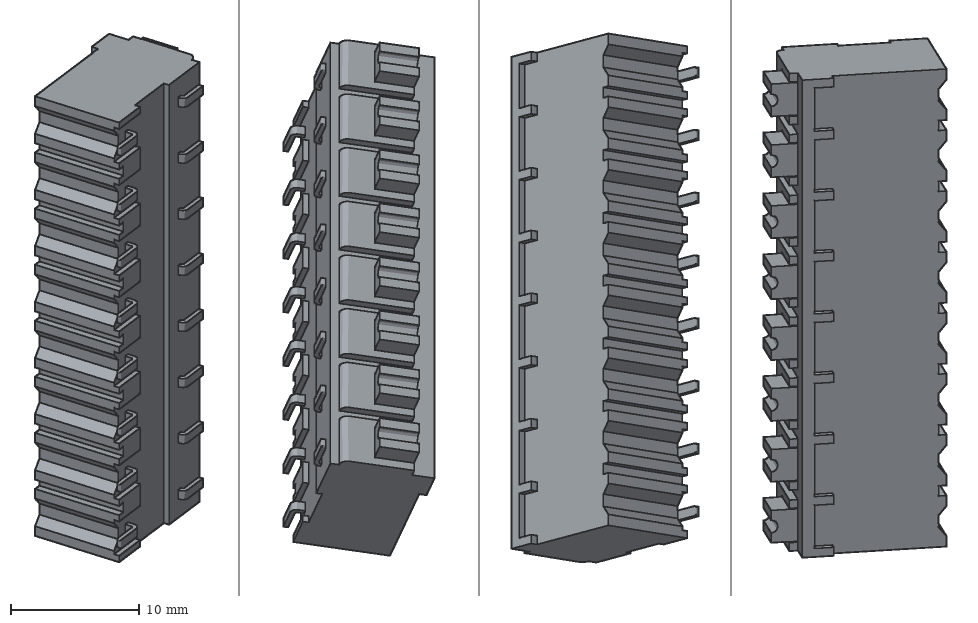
import cadquery as cq

pole_count = 8
pole_pitch = 4.998
height = 39.2
pole_levels = [(i - (pole_count - 1) / 2) * pole_pitch for i in range(pole_count)]
gap_levels = [z + pole_pitch / 2 for z in pole_levels[:-1]]

housing_front = 0.6
housing_back = 8.4
shoulder_y = 11.55
cap_y = 12.25
cap_front = 1.8
cap_back = 7.7
cap_radius = cap_y - shoulder_y

recess_floor = 7.9
recess_low = 3.0
recess_high = 7.17
channel_height = 3.05

foot_rail_low = 10.6
foot_rib_low = 9.05
foot_rib_height = 0.7

groove_depth = 0.63
groove_outer = 2.45
groove_inner = 0.98
slot_height = 0.82

key_length = 3.18
key_x = (cap_front, cap_front + key_length)
key_height = 2.65
key_clearance = 0.08
key_top = 13.7
key_notch_radius = 0.5

pin_thickness = 0.4
pin_height = 0.8
pin_outer_face = 9.0
pin_root = 7.45
pin_length = 2.7
pin_bend_radius = 0.1
pin_tip_radius = 0.1
lower_pin_tip = -0.7
upper_pin_tip = 11.17


def block(x_range, y_range, z_level, z_height):
    """Box over the given X and Y ranges, centred on a Z level."""
    length = x_range[1] - x_range[0]
    depth = y_range[1] - y_range[0]
    return (
        cq.Workplane("XY")
        .box(length, depth, z_height, centered=(False, False, True))
        .translate((x_range[0], y_range[0], z_level))
    )


def make_housing():
    """Full-height extrusion of the housing outline."""
    return (
        cq.Workplane("XY")
        .workplane(offset=-height / 2)
        .moveTo(housing_front, 0)
        .lineTo(housing_back, 0)
        .lineTo(housing_back, recess_low)
        .lineTo(recess_floor, recess_low)
        .lineTo(recess_floor, recess_high)
        .lineTo(housing_back, recess_high)
        .lineTo(housing_back, shoulder_y)
        .lineTo(cap_back, shoulder_y)
        .radiusArc((cap_back - cap_radius, cap_y), -cap_radius)
        .lineTo(cap_front, cap_y)
        .lineTo(cap_front, shoulder_y)
        .lineTo(housing_front, shoulder_y)
        .close()
        .extrude(height)
    )


def make_foot():
    """Rail along Z with a short rib between poles and at both ends."""
    foot_x = (0, housing_front)
    foot = block(foot_x, (foot_rail_low, shoulder_y), 0, height)
    end_level = (height - foot_rib_height) / 2
    for z in gap_levels + [-end_level, end_level]:
        foot = foot.union(block(foot_x, (foot_rib_low, shoulder_y), z, foot_rib_height))
    return foot


def make_comb_groove(z):
    """Trapezoidal groove across the -Y face at one pole."""
    return (
        cq.Workplane("YZ")
        .moveTo(0, z - groove_outer / 2)
        .lineTo(groove_depth, z - groove_inner / 2)
        .lineTo(groove_depth, z + groove_inner / 2)
        .lineTo(0, z + groove_outer / 2)
        .close()
        .extrude(housing_back)
    )


def make_key(z):
    """Coding key standing on the cap, with a round notch along its top."""
    key = block(key_x, (shoulder_y, key_top), z, key_height)
    notch = cq.Workplane("YZ").center(key_top, z).circle(key_notch_radius).extrude(housing_back)
    return key.cut(notch)


def make_pin(z, tip_y, direction):
    """L-shaped pin: leaves the housing along X, then bends along Y towards its tip."""
    heel_y = tip_y - direction * pin_length
    inner_face = pin_outer_face - pin_thickness
    inner_y = heel_y + direction * pin_thickness
    outer_radius = pin_bend_radius + pin_thickness
    bend_x = pin_outer_face - outer_radius
    bend_y = heel_y + direction * outer_radius
    pin = (
        cq.Workplane("XY")
        .workplane(offset=z - pin_height / 2)
        .moveTo(pin_root, heel_y)
        .lineTo(bend_x, heel_y)
        .radiusArc((pin_outer_face, bend_y), -direction * outer_radius)
        .lineTo(pin_outer_face, tip_y)
        .lineTo(inner_face, tip_y)
        .lineTo(inner_face, bend_y)
        .radiusArc((bend_x, inner_y), direction * pin_bend_radius)
        .lineTo(pin_root, inner_y)
        .close()
        .extrude(pin_height)
    )
    tip_face = ">Y" if direction > 0 else "<Y"
    return pin.faces(tip_face).edges().fillet(pin_tip_radius)


result = make_housing().union(make_foot())

slot_x = (housing_front, housing_back)
for z in gap_levels:
    result = result.cut(block(slot_x, (0, groove_depth), z, slot_height))
    result = result.cut(block(slot_x, (shoulder_y, cap_y), z, slot_height))

channel_x = (recess_floor, housing_back)
for z in pole_levels:
    result = result.cut(make_comb_groove(z))
    result = result.cut(block(channel_x, (0, recess_low), z, channel_height))
    key_pocket = block(key_x, (shoulder_y, cap_y), z, key_height + 2 * key_clearance)
    result = result.cut(key_pocket).union(make_key(z))
    result = result.union(make_pin(z, lower_pin_tip, -1))
    result = result.union(make_pin(z, upper_pin_tip, 1))